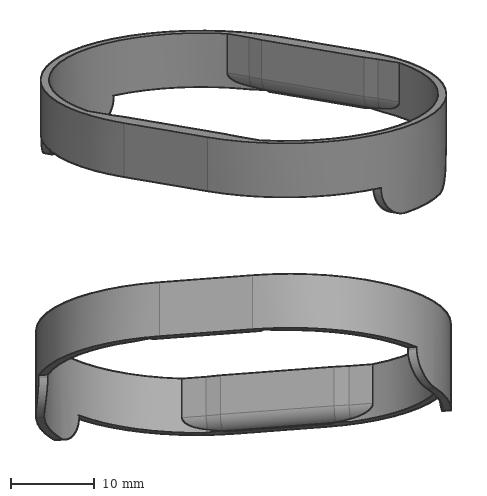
import cadquery as cq

length = 50.0
width = 38.55
height = 10.8
wall = 1.0

band_height = 6.8
tab_width = 16.0
tab_corner_radius = 3.8

pad_face_y = 17.25
pad_rise = 0.15
pad_center_half = 7.0
pad_ramp_end = 8.8
pad_lower_radius = 1.9

band_bottom = height - band_height
inner_length = length - 2 * wall
inner_width = width - 2 * wall


def oval(long_side, short_side, depth):
    """Solid with straight long sides and full round ends, standing on Z = 0."""
    return cq.Workplane("XY").slot2D(long_side, short_side).extrude(depth)


def tab_envelope():
    """Bar along X with rounded lower edges that limits the end tabs."""
    bar = cq.Workplane("XY").box(length, tab_width, height, centered=(True, True, False))
    return bar.edges("|X and <Z").fillet(tab_corner_radius)


def band_envelope():
    """Block covering the full-height zone of the band."""
    block = cq.Workplane("XY").box(length, width, band_height, centered=(True, True, False))
    return block.translate((0, 0, band_bottom))


def pad():
    """Thickening block on the +Y side, reaching outward past the ring wall."""
    half_length = length / 2
    center_face_y = pad_face_y - pad_rise
    block = (
        cq.Workplane("XY")
        .workplane(offset=band_bottom)
        .moveTo(-half_length, width)
        .lineTo(-half_length, pad_face_y)
        .lineTo(-pad_ramp_end, pad_face_y)
        .lineTo(-pad_center_half, center_face_y)
        .lineTo(pad_center_half, center_face_y)
        .lineTo(pad_ramp_end, pad_face_y)
        .lineTo(half_length, pad_face_y)
        .lineTo(half_length, width)
        .close()
        .extrude(band_height)
    )
    lower_inner_edges = cq.selectors.BoxSelector(
        (-half_length - 0.5, center_face_y - 0.5, band_bottom - 0.5),
        (half_length + 0.5, pad_face_y + 0.5, band_bottom + 0.5),
    )
    return block.edges("#Z").edges(lower_inner_edges).fillet(pad_lower_radius)


side_pad = pad()
cavity = oval(inner_length, inner_width, height).cut(side_pad).cut(side_pad.mirror("XZ"))
ring = oval(length, width, height).cut(cavity)
result = ring.intersect(band_envelope().union(tab_envelope()))